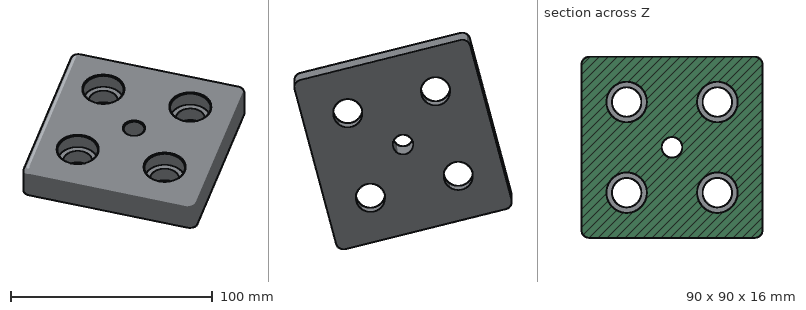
import cadquery as cq

side = 90.0
thickness = 16.0
corner_radius = 4.0
top_edge_radius = 3.0

hole_spacing = side / 2
bolt_diameter = 14.5
counterbore_diameter = 20.0
counterbore_depth = 8.0
center_diameter = 10.1
rim_chamfer = 0.5


def rounded_plate():
    """Square plate standing on Z = 0 with rounded corners and top edge."""
    plate = cq.Workplane("XY").box(side, side, thickness, centered=(True, True, False))
    plate = plate.edges("|Z").fillet(corner_radius)
    return plate.faces(">Z").edges().fillet(top_edge_radius)


def hole_cutter(diameter, depth):
    """Cylinder sunk from the top face, widened by a chamfer at the rim."""
    top = cq.Workplane("XY").workplane(offset=thickness)
    bore = top.circle(diameter / 2).extrude(-depth)
    rim = top.circle(diameter / 2 + rim_chamfer).extrude(-rim_chamfer, taper=45)
    return bore.union(rim)


def counterbored_cutter():
    """Through hole with a wider chamfered counterbore at the top."""
    through = cq.Workplane("XY").circle(bolt_diameter / 2).extrude(thickness)
    return through.union(hole_cutter(counterbore_diameter, counterbore_depth))


result = rounded_plate().cut(hole_cutter(center_diameter, thickness))
for x_side in (-1, 1):
    for y_side in (-1, 1):
        position = (x_side * hole_spacing / 2, y_side * hole_spacing / 2, 0)
        result = result.cut(counterbored_cutter().translate(position))